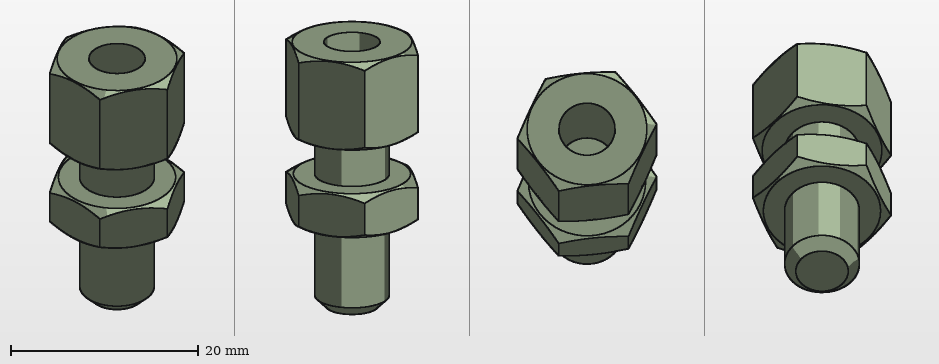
import cadquery as cq
import math

TOTAL_LENGTH = 30.0
ACROSS_FLATS = 13.0
HEAD_HEIGHT = TOTAL_LENGTH / 3
SHANK_DIAMETER = 8.0
TIP_CHAMFER_HEIGHT = 1.2
TIP_CHAMFER_WIDTH = 1.2
BORE_DIAMETER = 6.0
BORE_DEPTH = HEAD_HEIGHT
HEAD_FACE_DIAMETER = 12.8
NUT_FACE_DIAMETER = 12.55
NUT_HEIGHT = HEAD_HEIGHT / 2
CORNER_CHAMFER_ANGLE = 30.0

ACROSS_CORNERS = ACROSS_FLATS / math.cos(math.radians(30))
HEAD_BOTTOM = TOTAL_LENGTH - HEAD_HEIGHT
NUT_BOTTOM = HEAD_BOTTOM - 2 * NUT_HEIGHT


def chamfered_hexagon(bottom, height, face_diameter):
    """Hexagonal prism, corners towards +Y and -Y, with both ends turned to a cone."""
    prism = (
        cq.Workplane("XY")
        .workplane(offset=bottom)
        .transformed(rotate=(0, 0, 90))
        .polygon(6, ACROSS_CORNERS)
        .extrude(height)
    )
    face_radius = face_diameter / 2
    outer_radius = ACROSS_CORNERS
    cone_drop = (outer_radius - face_radius) * math.tan(math.radians(CORNER_CHAMFER_ANGLE))
    top = bottom + height
    lower_cone = (
        cq.Workplane("XZ")
        .polyline([(0, bottom), (face_radius, bottom), (outer_radius, bottom + cone_drop),
                   (outer_radius, top), (0, top)])
        .close()
        .revolve(360, (0, 0), (0, 1))
    )
    upper_cone = (
        cq.Workplane("XZ")
        .polyline([(0, bottom), (outer_radius, bottom), (outer_radius, top - cone_drop),
                   (face_radius, top), (0, top)])
        .close()
        .revolve(360, (0, 0), (0, 1))
    )
    return prism.intersect(lower_cone).intersect(upper_cone)


def shank():
    """Round shank with a chamfered lower tip."""
    return (
        cq.Workplane("XY")
        .circle(SHANK_DIAMETER / 2)
        .extrude(HEAD_BOTTOM)
        .faces("<Z")
        .chamfer(TIP_CHAMFER_HEIGHT, TIP_CHAMFER_WIDTH)
    )


def make_screw():
    """Hexagon head and shank in one piece, with a blind bore in the head."""
    head = chamfered_hexagon(HEAD_BOTTOM, HEAD_HEIGHT, HEAD_FACE_DIAMETER)
    bore = (
        cq.Workplane("XY")
        .workplane(offset=TOTAL_LENGTH - BORE_DEPTH)
        .circle(BORE_DIAMETER / 2)
        .extrude(BORE_DEPTH)
    )
    return head.union(shank()).cut(bore)


def make_nut():
    """Hexagon nut that fits around the shank."""
    blank = chamfered_hexagon(NUT_BOTTOM, NUT_HEIGHT, NUT_FACE_DIAMETER)
    hole = (
        cq.Workplane("XY")
        .workplane(offset=NUT_BOTTOM)
        .circle(SHANK_DIAMETER / 2)
        .extrude(NUT_HEIGHT)
    )
    return blank.cut(hole)


screw = make_screw()
nut = make_nut()

result = cq.Compound.makeCompound([screw.val(), nut.val()])